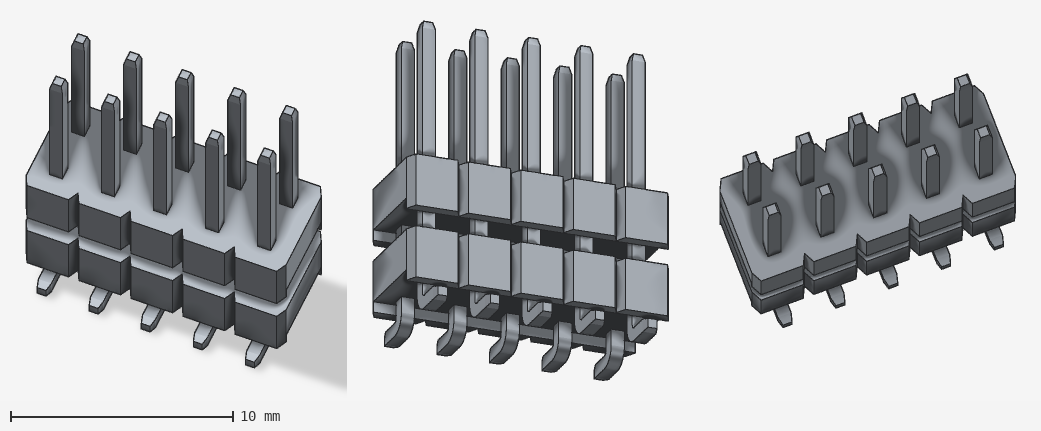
import cadquery as cq

PINS_PER_ROW = 5
PITCH = 2.54
ROW_SIDES = (-1, 1)
ROW_OFFSET = PITCH / 2

TOTAL_HEIGHT = 14.12
FOOT_SPAN = 6.5
PIN_SIZE = 0.64
BEND_INNER_RADIUS = 0.2
BEND_OUTER_RADIUS = BEND_INNER_RADIUS + PIN_SIZE
TIP_LENGTH = 0.38
TIP_INSET = 0.1
TIP_END_SIZE = PIN_SIZE - 2 * TIP_INSET

HOUSING_LENGTH = 12.7
HOUSING_WIDTH = 2 * PITCH
HOUSING_HEIGHT = 2.5
HOUSING_GAP = 1.0
STANDOFF = 1.12
NOTCH_DEPTH = 0.51
NOTCH_HALF_WIDTH = NOTCH_DEPTH / 2
LIP_THICKNESS = 0.56
RECESS_HEIGHT = 0.51


def pin_x(index):
    """X position of a pin column, with the row centred on the origin."""
    return (index - (PINS_PER_ROW - 1) / 2) * PITCH


def notch(x, side):
    """V-shaped cutter through a long side face, with its tip pointing inward."""
    face_y = side * HOUSING_WIDTH / 2
    tip_y = face_y - side * NOTCH_DEPTH
    outline = [(x - NOTCH_HALF_WIDTH, face_y), (x, tip_y), (x + NOTCH_HALF_WIDTH, face_y)]
    return cq.Workplane("XY").polyline(outline).close().extrude(HOUSING_HEIGHT)


def make_housing(bottom_z):
    """Block with V-notches between columns and an open recess along its underside."""
    housing = cq.Workplane("XY").box(
        HOUSING_LENGTH, HOUSING_WIDTH, HOUSING_HEIGHT, centered=(True, True, False)
    )
    inner_xs = [pin_x(index) + PITCH / 2 for index in range(PINS_PER_ROW - 1)]
    notch_xs = [-HOUSING_LENGTH / 2] + inner_xs + [HOUSING_LENGTH / 2]
    for x in notch_xs:
        for side in ROW_SIDES:
            housing = housing.cut(notch(x, side))
    recess = cq.Workplane("XY").box(
        HOUSING_LENGTH, HOUSING_WIDTH - 2 * LIP_THICKNESS, RECESS_HEIGHT, centered=(True, True, False)
    )
    return housing.cut(recess).translate((0, 0, bottom_z))


def tapered_tip(plane):
    """Truncated pyramid that ends a pin, starting on the given plane."""
    return (
        cq.Workplane(plane)
        .rect(PIN_SIZE, PIN_SIZE)
        .workplane(offset=TIP_LENGTH)
        .rect(TIP_END_SIZE, TIP_END_SIZE)
        .loft(ruled=True)
    )


def make_pin():
    """Pin of the +Y row at X = 0, with its foot pointing toward +Y."""
    inner_y = ROW_OFFSET - PIN_SIZE / 2
    outer_y = ROW_OFFSET + PIN_SIZE / 2
    bend_y = outer_y + BEND_INNER_RADIUS
    foot_y = FOOT_SPAN / 2 - TIP_LENGTH
    post_z = TOTAL_HEIGHT - TIP_LENGTH
    shank = (
        cq.Workplane("YZ")
        .moveTo(inner_y, post_z)
        .lineTo(inner_y, BEND_OUTER_RADIUS)
        .radiusArc((bend_y, 0), -BEND_OUTER_RADIUS)
        .lineTo(foot_y, 0)
        .lineTo(foot_y, PIN_SIZE)
        .lineTo(bend_y, PIN_SIZE)
        .radiusArc((outer_y, BEND_OUTER_RADIUS), BEND_INNER_RADIUS)
        .lineTo(outer_y, post_z)
        .close()
        .extrude(PIN_SIZE / 2, both=True)
    )
    post_end = cq.Plane(origin=(0, ROW_OFFSET, post_z), xDir=(1, 0, 0), normal=(0, 0, 1))
    foot_end = cq.Plane(origin=(0, foot_y, PIN_SIZE / 2), xDir=(1, 0, 0), normal=(0, 1, 0))
    return shank.union(tapered_tip(post_end)).union(tapered_tip(foot_end))


lower_housing = make_housing(STANDOFF)
upper_housing = make_housing(STANDOFF + HOUSING_HEIGHT + HOUSING_GAP)

back_pin = make_pin()
front_pin = back_pin.mirror("XZ")

result = lower_housing
for index in range(PINS_PER_ROW):
    for pin in (back_pin, front_pin):
        result = result.union(pin.translate((pin_x(index), 0, 0)))
result = result.union(upper_housing)